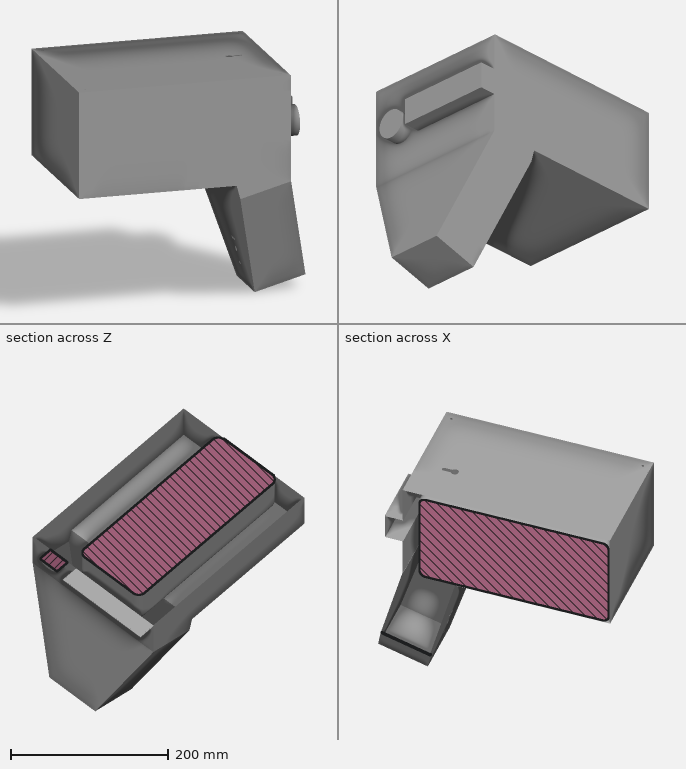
import cadquery as cq
import math

OVERALL_LENGTH = 320.8
SHEET = 1.0
HOUSING_WIDTH = 210.0
HOUSING_HEIGHT = 141.2
FLANGE_WIDTH = 21.0

REAR_BOX_WIDTH = 135.7
REAR_BOX_DEPTH = 24.0
REAR_BOX_HEIGHT = 36.5
REAR_BOX_DROP = 51.3

SCREW_HOLE_DIAMETER = 3.0
SCREW_HOLE_INSET = 11.0
KEYHOLE_HEAD_DIAMETER = 10.0
KEYHOLE_SLOT_WIDTH = 5.0
KEYHOLE_HEAD_INSET = 50.7
KEYHOLE_TRAVEL = 14.8

UNIT_WIDTH = 105.0
UNIT_HEIGHT = 134.0
UNIT_LENGTH = 260.0
UNIT_FILLET = 10.0
UNIT_CENTER_X = -7.7

CHUTE_TILT = 15.0
CHUTE_LENGTH = 149.8
CHUTE_DEPTH = 70.0
CHUTE_BOTTOM_WIDTH = 80.0
LED_HOLE_DIAMETER = 5.0
LED_HOLE_OFFSET = 4.0
LED_HOLE_HEIGHT = 65.0
BUTTON_HOLE_DIAMETER = 8.0
BUTTON_HOLE_HEIGHT = 50.0
SENSOR_HOLE_DIAMETER = 5.0
SENSOR_HOLE_HEIGHT = 30.0

SPIGOT_DIAMETER = 40.0
SPIGOT_LENGTH = 19.5
SPIGOT_CENTER_X = 60.0
SPIGOT_DROP = 73.8

HOUSING_LENGTH = OVERALL_LENGTH - CHUTE_LENGTH * math.sin(math.radians(CHUTE_TILT))
HALF_WIDTH = HOUSING_WIDTH / 2
LID_UNDERSIDE = HOUSING_HEIGHT - SHEET
REAR_BOX_X = (-HALF_WIDTH, REAR_BOX_WIDTH - HALF_WIDTH)
REAR_BOX_TOP = HOUSING_HEIGHT - REAR_BOX_DROP
REAR_BOX_Z = (REAR_BOX_TOP - REAR_BOX_HEIGHT, REAR_BOX_TOP)
REAR_BOX_INNER_Z = (REAR_BOX_Z[0] + SHEET, REAR_BOX_Z[1] - SHEET)


def box(x_range, y_range, z_range):
    """Box spanning the given ranges."""
    sizes = [high - low for low, high in (x_range, y_range, z_range)]
    corner = cq.Vector(x_range[0], y_range[0], z_range[0])
    return cq.Workplane("XY").box(*sizes, centered=False).translate(corner)


def screw_holes():
    """Four pins of the screw holes' size, through the lid and the flanges."""
    x = HALF_WIDTH - SCREW_HOLE_INSET
    rear_y = -SCREW_HOLE_INSET
    front_y = SCREW_HOLE_INSET - HOUSING_LENGTH
    corners = [(-x, rear_y), (x, rear_y), (-x, front_y), (x, front_y)]
    pins = cq.Workplane("XY").workplane(offset=LID_UNDERSIDE - SHEET).pushPoints(corners)
    return pins.circle(SCREW_HOLE_DIAMETER / 2).extrude(2 * SHEET)


def chute_prism(wall, top_z):
    """Tilted chute outline, moved inward by a wall thickness and cut level at the given height."""
    bottom_half = CHUTE_BOTTOM_WIDTH / 2
    outline = [
        (-HALF_WIDTH, CHUTE_DEPTH),
        (-HALF_WIDTH, 0),
        (-bottom_half, -CHUTE_LENGTH),
        (bottom_half, -CHUTE_LENGTH),
        (HALF_WIDTH, 0),
        (HALF_WIDTH, CHUTE_DEPTH),
    ]
    profile = cq.Workplane("XZ", origin=(0, -wall, 0)).polyline(outline).close()
    if wall:
        profile = profile.offset2D(-wall)
    prism = profile.extrude(CHUTE_DEPTH - 2 * wall).rotate((0, 0, 0), (1, 0, 0), CHUTE_TILT)
    y_range = (-HOUSING_LENGTH, HOUSING_LENGTH)
    return prism.cut(box((-HOUSING_WIDTH, HOUSING_WIDTH), y_range, (top_z, HOUSING_HEIGHT)))


def chute_front_holes():
    """Pins of the front holes' sizes, through the chute's front wall."""
    holes = [
        (-LED_HOLE_OFFSET, LED_HOLE_HEIGHT, LED_HOLE_DIAMETER),
        (LED_HOLE_OFFSET, LED_HOLE_HEIGHT, LED_HOLE_DIAMETER),
        (0, BUTTON_HOLE_HEIGHT, BUTTON_HOLE_DIAMETER),
        (0, SENSOR_HOLE_HEIGHT, SENSOR_HOLE_DIAMETER),
    ]
    pins = cq.Workplane("XZ", origin=(0, SHEET - CHUTE_DEPTH, -CHUTE_LENGTH))
    for x, height, diameter in holes:
        pins = pins.moveTo(x, height).circle(diameter / 2)
    return pins.extrude(SHEET).rotate((0, 0, 0), (1, 0, 0), CHUTE_TILT)


def make_base():
    """Floor, rear wall with its hollow box, and chute, folded from one sheet."""
    x_range = (-HALF_WIDTH, HALF_WIDTH)
    floor = box(x_range, (-HOUSING_LENGTH, 0), (0, SHEET))
    rear_wall = box(x_range, (-SHEET, 0), (0, LID_UNDERSIDE))
    rear_box = box(REAR_BOX_X, (-SHEET, REAR_BOX_DEPTH), REAR_BOX_Z)
    rear_box_cavity = box(
        (-HALF_WIDTH, REAR_BOX_X[1] - SHEET), (-SHEET, REAR_BOX_DEPTH - SHEET), REAR_BOX_INNER_Z
    )
    base = floor.union(rear_wall).union(rear_box).cut(rear_box_cavity)
    base = base.union(chute_prism(0, 0))
    return base.cut(chute_prism(SHEET, SHEET)).cut(chute_front_holes())


def make_shell():
    """Front and side walls with flanges under the lid; the left wall also closes the rear box."""
    x_range = (-HALF_WIDTH, HALF_WIDTH)
    inner_x = (SHEET - HALF_WIDTH, HALF_WIDTH - SHEET)
    shell = box(x_range, (-HOUSING_LENGTH, -SHEET), (SHEET, LID_UNDERSIDE))
    shell = shell.cut(box(inner_x, (SHEET - HOUSING_LENGTH, -SHEET), (SHEET, LID_UNDERSIDE)))
    front_y = (-HOUSING_LENGTH, SHEET - HOUSING_LENGTH)
    shell = shell.union(box(x_range, front_y, (SHEET, HOUSING_HEIGHT)))
    rear_box_side = box(
        (-HALF_WIDTH, inner_x[0]), (-SHEET, REAR_BOX_DEPTH - SHEET), REAR_BOX_INNER_Z
    )
    shell = shell.union(rear_box_side)

    flange_z = (LID_UNDERSIDE - SHEET, LID_UNDERSIDE)
    flange_y = (SHEET - HOUSING_LENGTH, -SHEET)
    shell = shell.union(box((-HALF_WIDTH, FLANGE_WIDTH - HALF_WIDTH), flange_y, flange_z))
    shell = shell.union(box((HALF_WIDTH - FLANGE_WIDTH, HALF_WIDTH), flange_y, flange_z))
    return shell.cut(screw_holes())


def make_lid():
    """Flat cover on the flanges, between the front and rear walls, with a keyhole to hang it by."""
    plate = box((-HALF_WIDTH, HALF_WIDTH), (SHEET - HOUSING_LENGTH, -SHEET), (LID_UNDERSIDE, HOUSING_HEIGHT))
    head_y = -KEYHOLE_HEAD_INSET
    slot_end_y = head_y + KEYHOLE_TRAVEL
    plane = cq.Workplane("XY").workplane(offset=LID_UNDERSIDE)
    head = plane.center(0, head_y).circle(KEYHOLE_HEAD_DIAMETER / 2).extrude(SHEET)
    slot = (
        plane.center(0, (head_y + slot_end_y) / 2)
        .slot2D(KEYHOLE_TRAVEL + KEYHOLE_SLOT_WIDTH, KEYHOLE_SLOT_WIDTH, 90)
        .extrude(SHEET)
    )
    return plate.cut(head).cut(slot).cut(screw_holes())


def make_inner_unit():
    """Block with all edges rounded."""
    front_y = SHEET - HOUSING_LENGTH
    return box(
        (UNIT_CENTER_X - UNIT_WIDTH / 2, UNIT_CENTER_X + UNIT_WIDTH / 2),
        (front_y, front_y + UNIT_LENGTH),
        (SHEET, SHEET + UNIT_HEIGHT),
    ).edges().fillet(UNIT_FILLET)


def make_spigot():
    """Plain cylinder standing out from the rear wall."""
    axis_z = HOUSING_HEIGHT - SPIGOT_DROP
    return (
        cq.Workplane("XZ", origin=(SPIGOT_CENTER_X, 0, axis_z))
        .circle(SPIGOT_DIAMETER / 2)
        .extrude(-SPIGOT_LENGTH)
    )


base = make_base()
shell = make_shell()
lid = make_lid()
inner_unit = make_inner_unit()
spigot = make_spigot()

result = cq.Compound.makeCompound(
    [base.val(), shell.val(), lid.val(), inner_unit.val(), spigot.val()]
)